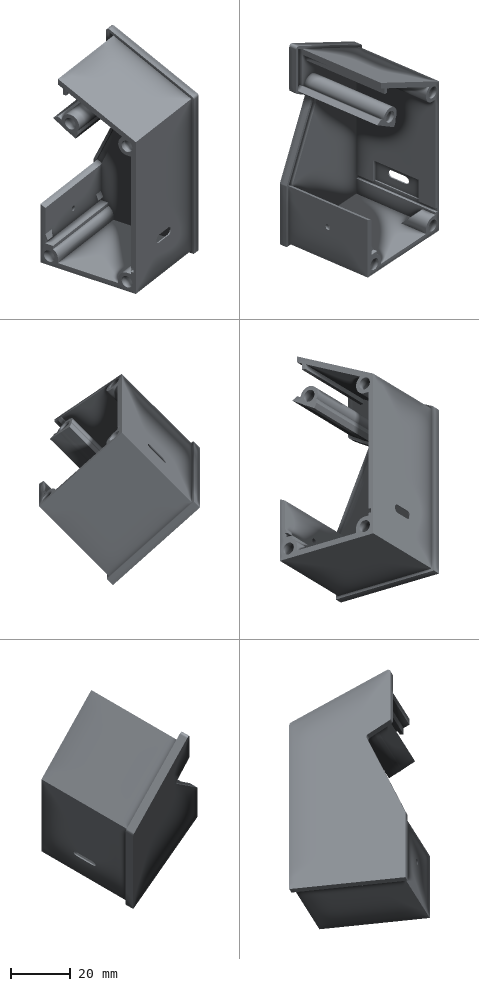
import cadquery as cq
import math

WIDTH = 40.0
DEPTH = 37.0
HEIGHT = 76.4
PLATE = 3.0
BODY_DEPTH = DEPTH - PLATE
LIP = 1.0
WALL = 2.0
CORNER_RADIUS = 1.0

RIGHT_HEIGHT = 60.5
NOSE_X = 5.05
NOSE_BOTTOM = 58.15
FRONT_HEIGHT = 23.9
TILT = math.radians(25.2)
ROOF_SLOPE = math.tan(TILT)
NOSE_SLOPE = math.tan(math.radians(30))
FRONT_SLOPE = 1 / ROOF_SLOPE

BOSS_RADIUS = 3.5
SCREW_DIAMETER = 4.3
SCREW_DEPTH = 6.0
BOSS_INSET = LIP + BOSS_RADIUS
LOW_BOSS_Z = 4.6
TOP_BOSS_Z = 57.15
NOSE_BOSS = (12.9, 58.7)
RIGHT_BOSS_X = WIDTH - BOSS_INSET
LOW_BOSS_LENGTH = 10.7

GROOVE_BOTTOM = 9.0
GROOVE_TOP = 10.55
GROOVE_DEPTH = 1.0
RIB_LENGTH = 2.9
RIB_HEIGHT = 2.1
SHELF_X = 6.0

STOP_X = 10.0
STOP_WIDTH = 1.3
STOP_BOTTOM = 69.1
STOP_OVERLAP = 0.45

SEAT_DEPTH = 1.0

OPENING_Y = 17.1
PIN_HOLE_DIAMETER = 2.0
PIN_HOLE_Z = 14.1
SLOT_LENGTH = 8.9
SLOT_HEIGHT = 3.0
SLOT_Z = 15.4
POCKET_LENGTH = 19.55
POCKET_TOP = 19.0
POCKET_DEPTH = 1.5

FLOOR_TOP = LIP + WALL
INNER_RIGHT = WIDTH - LIP - WALL
INNER_LEFT = LIP + WALL


def prism(points, y_start, y_end):
    """Extrude an XZ outline from y_start to y_end."""
    plane = cq.Workplane("XZ", origin=(0, y_start, 0))
    return plane.polyline(points).close().extrude(y_start - y_end)


def rod(center, radius, y_end):
    """Round bar along Y starting at the open end."""
    return cq.Workplane("XZ").center(*center).circle(radius).extrude(-y_end)


def block(x_range, y_range, z_range):
    size = [high - low for low, high in (x_range, y_range, z_range)]
    corner = (x_range[0], y_range[0], z_range[0])
    return cq.Workplane("XY").box(*size, centered=False).translate(corner)


def outline(inset):
    """Corner points of the housing, moved inward by inset."""
    roof_drop = inset * math.hypot(1, ROOF_SLOPE)
    nose_rise = inset * math.hypot(1, NOSE_SLOPE)
    front_drop = inset * math.hypot(1, FRONT_SLOPE)
    left = inset
    right = WIDTH - inset
    nose = NOSE_X + inset
    roof_right = RIGHT_HEIGHT + ROOF_SLOPE * inset - roof_drop
    roof_left = roof_right + ROOF_SLOPE * (right - nose)
    nose_bottom = NOSE_BOTTOM - NOSE_SLOPE * inset + nose_rise
    front_top = FRONT_HEIGHT + FRONT_SLOPE * inset - front_drop
    notch_rise = nose_bottom - front_top + NOSE_SLOPE * (nose - left)
    notch_x = left + notch_rise / (FRONT_SLOPE + NOSE_SLOPE)
    notch_z = front_top + FRONT_SLOPE * (notch_x - left)
    return [
        (left, inset),
        (right, inset),
        (right, roof_right),
        (nose, roof_left),
        (nose, nose_bottom),
        (notch_x, notch_z),
        (left, front_top),
    ]


OUTER = outline(LIP)
INNER = outline(LIP + WALL)

ROOF_END_X = INNER[3][0]
ROOF_END = (ROOF_END_X, OUTER[3][1] - ROOF_SLOPE * (ROOF_END_X - OUTER[3][0]))
FRONT_END = (INNER_LEFT, OUTER[6][1] - ROOF_SLOPE * WALL)


def nose_floor_z(x):
    """Height of the upper face of the nose floor."""
    return INNER[4][1] - NOSE_SLOPE * (x - INNER[4][0])


SEAT_RISE = nose_floor_z(FRONT_END[0]) - FRONT_END[1]
SEAT_END_X = FRONT_END[0] + SEAT_RISE / (FRONT_SLOPE + NOSE_SLOPE)
SEAT_END = (SEAT_END_X, nose_floor_z(SEAT_END_X))
NOSE_FLOOR_END_X = OUTER[5][0] + WALL * math.sin(TILT)
NOSE_FLOOR_END = (NOSE_FLOOR_END_X, nose_floor_z(NOSE_FLOOR_END_X))


def make_plate():
    plate = prism(outline(0), BODY_DEPTH, DEPTH)
    upper = cq.selectors.BoxSelector((-0.8, 0, LIP), (WIDTH + 0.8, DEPTH + 0.8, HEIGHT + LIP))
    plate = plate.edges("|Y").edges(upper).fillet(CORNER_RADIUS)
    nose_seat = [OUTER[3], OUTER[4], INNER[4], ROOF_END]
    sloping_seat = [OUTER[5], OUTER[6], FRONT_END, SEAT_END, NOSE_FLOOR_END]
    for seat in (nose_seat, sloping_seat):
        plate = plate.cut(prism(seat, BODY_DEPTH, BODY_DEPTH + SEAT_DEPTH))
    return plate


def make_walls():
    """Front, floor, back and roof as one bent wall, plus the nose floor."""
    wall = prism(
        [
            OUTER[6], OUTER[0], OUTER[1], OUTER[2], ROOF_END,
            INNER[3], INNER[2], INNER[1], INNER[0], FRONT_END,
        ],
        0,
        BODY_DEPTH,
    )
    boss_x, boss_z = NOSE_BOSS
    nose_floor = prism(
        [
            OUTER[4], OUTER[5], NOSE_FLOOR_END, (NOSE_FLOOR_END_X, boss_z),
            NOSE_BOSS, (boss_x, nose_floor_z(boss_x)), INNER[4],
        ],
        0,
        BODY_DEPTH,
    )
    stop_top = INNER[3][1] - ROOF_SLOPE * (STOP_X - INNER[3][0]) + STOP_OVERLAP
    stop = block((STOP_X, STOP_X + STOP_WIDTH), (0, BODY_DEPTH), (STOP_BOTTOM, stop_top))
    return wall.union(nose_floor).union(stop)


def make_long_bosses():
    corner = block(
        (RIGHT_BOSS_X, WIDTH - LIP), (0, BODY_DEPTH), (TOP_BOSS_Z - BOSS_RADIUS, TOP_BOSS_Z)
    )
    top = rod((RIGHT_BOSS_X, TOP_BOSS_Z), BOSS_RADIUS, BODY_DEPTH).union(corner)
    roof_web = prism(
        [(RIGHT_BOSS_X, TOP_BOSS_Z), (WIDTH - LIP, TOP_BOSS_Z), OUTER[2],
         (RIGHT_BOSS_X, OUTER[2][1] + ROOF_SLOPE * (OUTER[2][0] - RIGHT_BOSS_X))],
        0,
        BODY_DEPTH,
    )
    return top.union(roof_web).union(rod(NOSE_BOSS, BOSS_RADIUS, BODY_DEPTH))


def low_boss(x, side, length):
    """Floor boss at x, filled out to the side wall and down to the floor."""
    foot = block(sorted((side, 2 * x - side)), (0, length), (LIP, LOW_BOSS_Z))
    corner = block(sorted((side, x)), (0, length), (LIP, LOW_BOSS_Z + BOSS_RADIUS))
    return rod((x, LOW_BOSS_Z), BOSS_RADIUS, length).union(foot).union(corner)


def make_low_bosses():
    """Left boss runs the full depth under its shelf; the right one ends in a 45 degree slope."""
    shelf = block((LIP, SHELF_X), (0, BODY_DEPTH), (LIP, GROOVE_BOTTOM))
    left = low_boss(BOSS_INSET, LIP, BODY_DEPTH).union(shelf)
    slope_rise = GROOVE_BOTTOM - FLOOR_TOP
    envelope = (
        cq.Workplane("YZ")
        .polyline([
            (0, LIP), (LOW_BOSS_LENGTH, LIP), (LOW_BOSS_LENGTH, FLOOR_TOP),
            (LOW_BOSS_LENGTH - slope_rise, GROOVE_BOTTOM), (0, GROOVE_BOTTOM),
        ])
        .close()
        .extrude(WIDTH)
    )
    right = low_boss(RIGHT_BOSS_X, WIDTH - LIP, LOW_BOSS_LENGTH).intersect(envelope)
    return left.union(right)


def make_groove_ribs():
    """Ribs above the left groove: a square one at the plate, a bevelled one at the open end."""
    profile = [
        (INNER_LEFT - LIP, GROOVE_TOP),
        (INNER_LEFT + GROOVE_DEPTH, GROOVE_TOP),
        (INNER_LEFT, GROOVE_TOP + RIB_HEIGHT),
        (INNER_LEFT - LIP, GROOVE_TOP + RIB_HEIGHT),
    ]
    back_rib = prism(profile, BODY_DEPTH - RIB_LENGTH, BODY_DEPTH)
    bevel_end = RIB_LENGTH + GROOVE_DEPTH
    bevel = (
        cq.Workplane("XY", origin=(0, 0, GROOVE_TOP))
        .polyline([
            (INNER_LEFT, bevel_end), (INNER_LEFT + GROOVE_DEPTH, RIB_LENGTH),
            (INNER_LEFT + GROOVE_DEPTH, bevel_end),
        ])
        .close()
        .extrude(RIB_HEIGHT)
    )
    return prism(profile, 0, bevel_end).cut(bevel).union(back_rib)


def cut_openings(body):
    for center in (
        (BOSS_INSET, LOW_BOSS_Z), (RIGHT_BOSS_X, LOW_BOSS_Z), (RIGHT_BOSS_X, TOP_BOSS_Z), NOSE_BOSS,
    ):
        body = body.cut(rod(center, SCREW_DIAMETER / 2, SCREW_DEPTH))
    groove = block((INNER_RIGHT, INNER_RIGHT + GROOVE_DEPTH), (0, BODY_DEPTH), (GROOVE_BOTTOM, GROOVE_TOP))
    pocket = block(
        (INNER_RIGHT, INNER_RIGHT + POCKET_DEPTH),
        (OPENING_Y - POCKET_LENGTH / 2, OPENING_Y + POCKET_LENGTH / 2),
        (GROOVE_TOP, POCKET_TOP),
    )
    slot = (
        cq.Workplane("YZ", origin=(INNER_RIGHT, OPENING_Y, SLOT_Z))
        .slot2D(SLOT_LENGTH, SLOT_HEIGHT)
        .extrude(WALL)
    )
    pin_hole = (
        cq.Workplane("YZ", origin=(LIP, OPENING_Y, PIN_HOLE_Z))
        .circle(PIN_HOLE_DIAMETER / 2)
        .extrude(WALL)
    )
    return body.cut(groove).cut(pocket).cut(slot).cut(pin_hole)


housing = make_walls().union(make_long_bosses()).union(make_low_bosses()).union(make_groove_ribs())
result = cut_openings(housing.union(make_plate()))